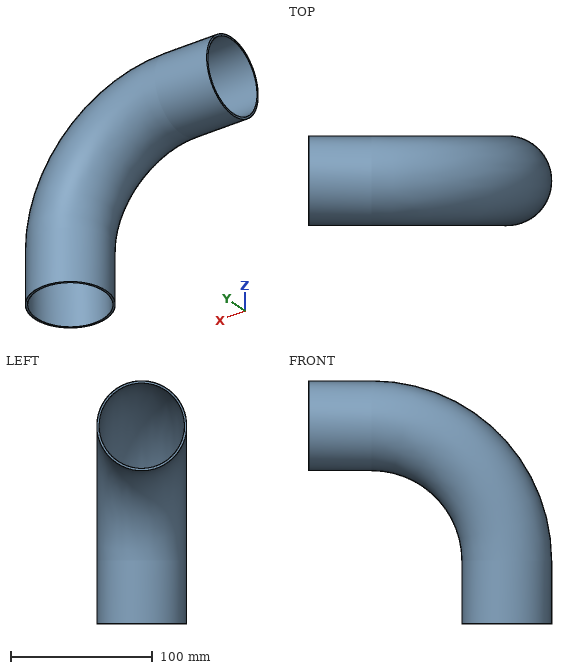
import cadquery as cq

outer_diameter = 63.5
inner_diameter = 60.2
bend_radius = 1.5 * outer_diameter
tangent_length = 44.45
bend_angle = 90


def ring(plane):
    """Tube cross-section on the given plane."""
    return cq.Workplane(plane).circle(outer_diameter / 2).circle(inner_diameter / 2)


def horizontal_tangent():
    """Straight tube running from the bend toward -X."""
    start = cq.Plane(origin=(0, 0, bend_radius), xDir=(0, 1, 0), normal=(-1, 0, 0))
    return ring(start).extrude(tangent_length)


def bend():
    """Quarter torus about the Y axis, from the top of the arc to its +X end."""
    start = cq.Plane(origin=(0, 0, bend_radius), xDir=(0, 1, 0), normal=(1, 0, 0))
    return ring(start).revolve(bend_angle, (0, -bend_radius, 0), (1, -bend_radius, 0))


def vertical_tangent():
    """Straight tube running from the bend toward -Z."""
    start = cq.Plane(origin=(bend_radius, 0, 0), xDir=(1, 0, 0), normal=(0, 0, -1))
    return ring(start).extrude(tangent_length)


result = bend().union(horizontal_tangent()).union(vertical_tangent())